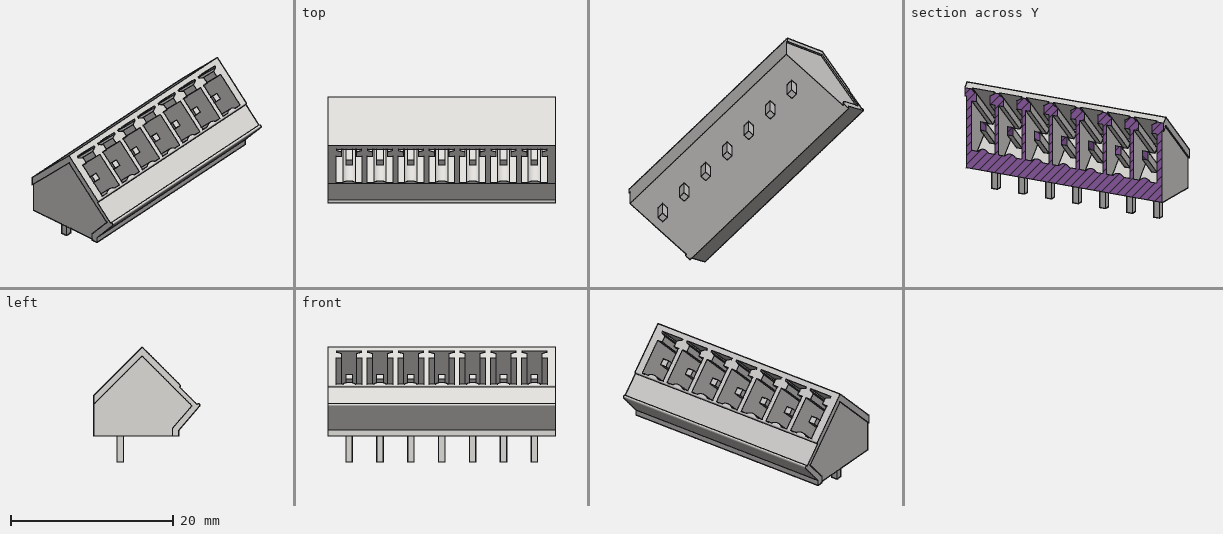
import cadquery as cq
import math


length = 28.05
pole_count = 7
end_margin = 2.6
pitch = (length - 2 * end_margin) / (pole_count - 1)

height = 11.0
ridge_reach = 5.98
total_reach = 13.1
foot_reach = 10.52
foot_height = 0.73
ledge_distance = 6.8
ledge_drop = 0.22
ledge_radius = 0.2
nose_radius = 0.2
nose_height = 3.82

recess_depth = 0.2
recess_border = 0.79
recess_nose_reach = 12.12
recess_foot_height = 0.98

cavity_depth = 7.0
key_top = 0.7
key_side_end = 0.9
key_taper_end = 1.18
chamber_top = 1.96
chamber_bottom = 6.45
key_width = 3.1
neck_width = 1.82
chamber_width = 3.2
hump_width = 1.52
hump_rise = 0.28

pin_width = 0.8
pin_tip_depth = 1.12
pin_distance = 4.1
pin_leg_reach = 3.28
pin_leg_length = 3.2

root2 = math.sqrt(2)
slope_sum = ridge_reach + height
pole_positions = [(i - (pole_count - 1) / 2) * pitch for i in range(pole_count)]


def slope_point(distance, depth=0.0):
    """Reach and height of a point given by its distance down the front slope and depth below it."""
    return (
        ridge_reach + (distance - depth) / root2,
        height - (distance + depth) / root2,
    )


def section(reach_height_points):
    """Points of a cross-section as (Y, Z), reach being measured forwards from the back face."""
    return [(-reach, z) for reach, z in reach_height_points]


def housing_blank():
    ledge_round = ledge_radius / root2
    nose_round = nose_radius / root2
    nose_reach = total_reach - nose_radius
    nose_step = (nose_reach + nose_height - slope_sum) / 2 + ledge_drop / root2

    back_foot, back_eave, ridge, ledge_start, ledge_middle, ledge_end, ledge_foot = section([
        (0, 0),
        (0, height - ridge_reach),
        (ridge_reach, height),
        slope_point(ledge_distance - ledge_radius),
        slope_point(ledge_distance - ledge_radius + ledge_round, ledge_radius - ledge_round),
        slope_point(ledge_distance, ledge_radius),
        slope_point(ledge_distance, ledge_drop),
    ])
    nose_foot, nose_start, nose_middle, nose_end, foot_top, foot_front = section([
        (nose_reach - nose_round - nose_step, nose_height + nose_round - nose_step),
        (nose_reach - nose_round, nose_height + nose_round),
        (nose_reach + nose_round, nose_height + nose_round),
        (nose_reach + nose_round, nose_height - nose_round),
        (foot_reach, foot_height),
        (foot_reach, 0),
    ])
    return (
        cq.Workplane("YZ")
        .moveTo(*back_foot)
        .lineTo(*back_eave)
        .lineTo(*ridge)
        .lineTo(*ledge_start)
        .threePointArc(ledge_middle, ledge_end)
        .lineTo(*ledge_foot)
        .lineTo(*nose_foot)
        .lineTo(*nose_start)
        .threePointArc(nose_middle, nose_end)
        .lineTo(*foot_top)
        .lineTo(*foot_front)
        .close()
        .extrude(length / 2, both=True)
    )


def end_recesses():
    slope_shift = recess_border * root2
    outline = section([
        (0, 0),
        (0, height - ridge_reach - slope_shift),
        (ridge_reach, height - slope_shift),
        (recess_nose_reach, slope_sum - slope_shift - recess_nose_reach),
        (foot_reach - recess_border, recess_foot_height),
        (foot_reach - recess_border, 0),
    ])
    left = (
        cq.Workplane("YZ", origin=(-length / 2, 0, 0))
        .polyline(outline)
        .close()
        .extrude(recess_depth)
    )
    return left.union(left.mirror("YZ"))


def cavity():
    """Keyed cavity at X = 0: a chamber, a narrow neck above it, and a flared key slot on top."""
    front_slope = cq.Plane(origin=(0, -ridge_reach, height), xDir=(1, 0, 0), normal=(0, -1, 1))
    right_side = [
        (hump_width / 2, -chamber_bottom),
        (chamber_width / 2, -chamber_bottom),
        (chamber_width / 2, -chamber_top),
        (neck_width / 2, -chamber_top),
        (neck_width / 2, -key_taper_end),
        (key_width / 2, -key_side_end),
        (key_width / 2, -key_top),
    ]
    left_side = [(-x, y) for x, y in reversed(right_side)]
    hump_crest = (0, hump_rise - chamber_bottom)
    return (
        cq.Workplane(front_slope)
        .polyline(right_side + left_side)
        .threePointArc(hump_crest, right_side[0])
        .close()
        .extrude(-cavity_depth)
    )


def contact_pin():
    """Bent pin at X = 0: a slanted contact square to the front slope and a vertical leg."""
    half = pin_width / 2
    upper_tip = slope_point(pin_distance - half, pin_tip_depth)
    lower_tip = slope_point(pin_distance + half, pin_tip_depth)
    back = pin_leg_reach - half
    front = pin_leg_reach + half
    outline = section([
        upper_tip,
        lower_tip,
        (front, lower_tip[1] - (lower_tip[0] - front)),
        (front, -pin_leg_length),
        (back, -pin_leg_length),
        (back, upper_tip[1] - (upper_tip[0] - back)),
    ])
    return cq.Workplane("YZ").polyline(outline).close().extrude(half, both=True)


pins = [contact_pin().translate((x, 0, 0)) for x in pole_positions]

housing = housing_blank().cut(end_recesses())
for x in pole_positions:
    housing = housing.cut(cavity().translate((x, 0, 0)))
for pin in pins:
    housing = housing.cut(pin)

result = cq.Compound.makeCompound([housing.solids().val(), *[pin.val() for pin in pins]])